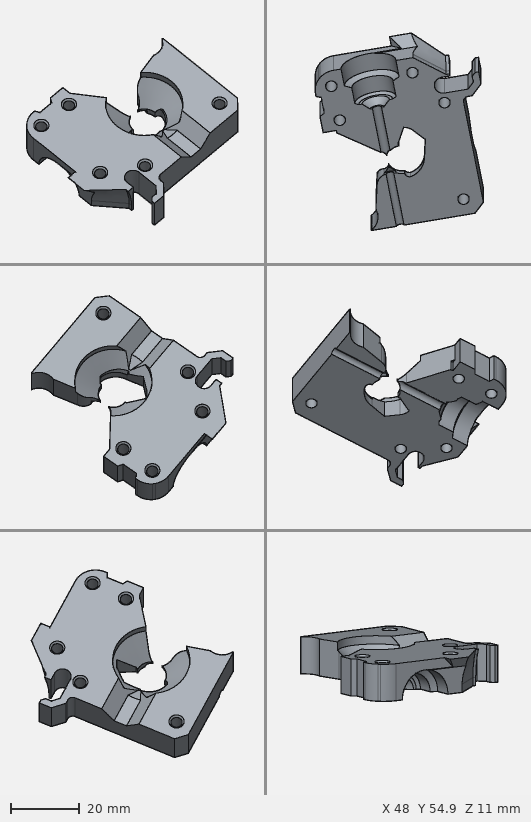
import cadquery as cq
import math

height = 11.0
left_x = -21.0
right_x = 21.0
back_y = 20.5
front_y = -31.35

tongue_length = 3.0
tongue_left_x = 2.6
tongue_right_x = 9.1
tongue_tip_y = front_y - tongue_length
tongue_root_z = height - tongue_length
front_recess = 0.2

corner_chamfer = 3.0
front_corner_radius = 6.5
front_corner_flat = 0.8
left_step_y = -12.45
left_step_x = -18.15
catch_depth = 1.45
catch_top_y = -17.65
catch_bottom_y = -24.1
hook_x = 27.0
hook_inner_x = 24.9
hook_tip_y = -23.3
hook_fillet = 1.6
hook_outer_chamfer = 3.2
hook_inner_chamfer = 1.9
hook_tip_chamfer = 1.05
arm_top_y = -16.2
slot_top_y = -18.5
slot_bottom_y = -23.5
slot_radius = (slot_top_y - slot_bottom_y) / 2
slot_end_x = 13.55
shelf_x = 18.55
shelf_y = -25.6
diagonal_end_x = 17.55

undercut_front_depth = 3.4
undercut_shelf_depth = 1.4
undercut_low_z = 2.5
undercut_lead = 0.5

hole_diameter = 3.3
countersink_diameter = 4.4
motor_hole_offset = 15.5
front_hole_y = -26.5
front_left_hole_x = -16.0
front_right_hole_x = 8.0
hole_centres = [
    (motor_hole_offset, motor_hole_offset),
    (motor_hole_offset, -motor_hole_offset),
    (-motor_hole_offset, -motor_hole_offset),
    (front_left_hole_x, front_hole_y),
    (front_right_hole_x, front_hole_y),
]

funnel_radius = 11.25
throat_radius = 4.4
funnel_shoulder_z = 8.55
throat_z = 2.2

window_round_start = (6.75, 0.1)
window_round_middle = (5.0, 3.8)
window_round_end = (1.6, 5.75)
window_left_middle = (0.55, 5.35)
window_left_end = (0.1, 4.25)
rim_bottom_z = 3.3
rim_angle = 21.0

channel_half_width = 6.0
channel_floor_z = 7.0
ramp_outer_radius = 11.6
ramp_inner_radius = 8.15
ramp_inner_z = 5.5

bore_x = -4.15
bore_profile = [
    (8.1, 0.0),
    (8.1, 5.4),
    (6.1, 6.4),
    (6.1, 11.4),
    (5.0, 12.0),
    (4.05, 12.0),
    (2.0, 14.0),
    (1.35, 14.0),
]
passage_radius = 1.15
mouth_inner_radius = 1.35
mouth_outer_radius = 2.0
mouth_inner_y = 2.3
mouth_outer_y = 3.75
mouth_left_x = -5.85

notch_length = 1.05
notch_width = 0.75
notch_height = 4.0


def plate():
    """Upright plate with the full outline, including the hook and the tongue."""
    slot_centre_x = slot_end_x + slot_radius
    slot_middle_y = (slot_top_y + slot_bottom_y) / 2
    corner_x = left_x + front_corner_radius
    corner_y = front_y + front_corner_radius
    half_flat_angle = math.asin(front_corner_flat / 2 / front_corner_radius)

    def corner_point(angle):
        return (
            corner_x - front_corner_radius * math.cos(angle),
            corner_y - front_corner_radius * math.sin(angle),
        )

    flat_start = math.radians(45) + half_flat_angle
    flat_end = math.radians(45) - half_flat_angle
    outline = (
        cq.Workplane("XY")
        .moveTo(-12.5, back_y)
        .lineTo(right_x - corner_chamfer, back_y)
        .lineTo(right_x, back_y - corner_chamfer)
        .lineTo(right_x, arm_top_y + hook_fillet)
        .radiusArc((right_x + hook_fillet, arm_top_y), -hook_fillet)
        .lineTo(hook_x - hook_outer_chamfer, arm_top_y)
        .lineTo(hook_x, arm_top_y - hook_outer_chamfer)
        .lineTo(hook_x, hook_tip_y)
        .lineTo(hook_inner_x + hook_tip_chamfer, hook_tip_y)
        .lineTo(hook_inner_x, hook_tip_y + hook_tip_chamfer)
        .lineTo(hook_inner_x, slot_top_y - hook_inner_chamfer)
        .lineTo(hook_inner_x - hook_inner_chamfer, slot_top_y)
        .lineTo(slot_centre_x, slot_top_y)
        .threePointArc((slot_end_x, slot_middle_y), (slot_centre_x, slot_bottom_y))
        .lineTo(shelf_x, slot_bottom_y)
        .lineTo(shelf_x, shelf_y)
        .lineTo(diagonal_end_x, shelf_y)
        .lineTo(tongue_right_x, tongue_tip_y)
        .lineTo(tongue_left_x, tongue_tip_y)
        .lineTo(tongue_left_x, front_y)
        .lineTo(corner_x, front_y)
        .radiusArc(corner_point(flat_start), front_corner_radius)
        .lineTo(*corner_point(flat_end))
        .radiusArc((left_x, corner_y), front_corner_radius)
        .lineTo(left_x, catch_bottom_y)
        .lineTo(left_x + catch_depth, slot_bottom_y)
        .lineTo(left_x + catch_depth, slot_top_y)
        .lineTo(left_x, catch_top_y)
        .lineTo(left_x, left_step_y)
        .lineTo(left_step_x, left_step_y)
        .lineTo(mouth_left_x, -3.55)
        .threePointArc((-4.95, -2.75), (bore_x, -1.75))
        .lineTo(bore_x, 1.7)
        .threePointArc((-4.9, 2.95), (mouth_left_x, mouth_outer_y))
        .threePointArc((-7.4, 4.65), (-8.45, 6.65))
        .lineTo(-10.2, 14.2)
        .threePointArc((-10.1, 17.0), (-12.7, 20.3))
        .close()
    )
    return outline.extrude(height)


def tongue_undercut():
    """Material removed below the 45 degree underside and left side of the tongue."""
    below_underside = (
        cq.Workplane("YZ", origin=(bore_x, 0, 0))
        .polyline([
            (tongue_tip_y, height),
            (front_y + front_recess, tongue_root_z - front_recess),
            (front_y + front_recess, 0),
            (tongue_tip_y, 0),
        ])
        .close()
        .extrude(hook_x - bore_x)
    )
    left_of_side = (
        cq.Workplane("XZ", origin=(0, front_y, 0))
        .polyline([
            (tongue_left_x, height),
            (tongue_left_x + tongue_length, tongue_root_z),
            (tongue_left_x, tongue_root_z),
        ])
        .close()
        .extrude(tongue_length)
    )
    return below_underside.union(left_of_side)


def wall_undercut():
    """Concave undercut of the diagonal wall and the shelf, recessed along +Y towards the bottom."""
    run_x = diagonal_end_x - tongue_right_x
    run_y = shelf_y - tongue_tip_y
    start_x = tongue_right_x - undercut_lead
    start_y = tongue_tip_y - undercut_lead * run_y / run_x

    def profile(x, y, depth):
        return (
            cq.Workplane("YZ", origin=(x, y, 0))
            .moveTo(-tongue_length, 0)
            .lineTo(depth, 0)
            .lineTo(depth, undercut_low_z)
            .tangentArcPoint((0, height), relative=False)
            .lineTo(-tongue_length, height)
            .close()
        )

    front_profile = profile(start_x, start_y, undercut_front_depth)
    shelf_profile = profile(diagonal_end_x, shelf_y, undercut_shelf_depth)
    below_diagonal = cq.Solid.makeLoft([front_profile.val(), shelf_profile.val()], True)
    below_shelf = shelf_profile.extrude(shelf_x - diagonal_end_x)
    return below_shelf.union(cq.Workplane(below_diagonal))


def screw_holes():
    """Through holes, countersunk at the top."""
    hole_radius = hole_diameter / 2
    countersink_radius = countersink_diameter / 2
    sink_z = height - (countersink_radius - hole_radius)
    hole = (
        cq.Workplane("XZ")
        .polyline([
            (0, 0),
            (hole_radius, 0),
            (hole_radius, sink_z),
            (countersink_radius, height),
            (0, height),
        ])
        .close()
        .revolve(360, (0, 0), (0, 1))
    )
    return cq.Workplane("XY").pushPoints(hole_centres).eachpoint(hole.val(), combine=False)


def funnel():
    """Round recess that narrows conically to a straight throat."""
    return (
        cq.Workplane("XZ")
        .polyline([
            (0, 0),
            (throat_radius, 0),
            (throat_radius, throat_z),
            (funnel_radius, funnel_shoulder_z),
            (funnel_radius, height),
            (0, height),
        ])
        .close()
        .revolve(360, (0, 0), (0, 1))
    )


def funnel_window():
    """Upright opening through the funnel wall, beside the throat."""
    return (
        cq.Workplane("XY")
        .moveTo(0, -4.3)
        .lineTo(-0.2, -5.0)
        .lineTo(2.4, -9.9)
        .threePointArc((4.0, -9.3), (5.0, -8.4))
        .lineTo(7.95, -4.95)
        .lineTo(*window_round_start)
        .threePointArc(window_round_middle, window_round_end)
        .threePointArc(window_left_middle, window_left_end)
        .close()
        .extrude(funnel_shoulder_z)
    )


def window_rim():
    """Sloped rim between the funnel and the round wall of the window."""
    return (
        cq.Workplane("XY", origin=(0, 0, rim_bottom_z))
        .moveTo(*window_round_start)
        .threePointArc(window_round_middle, window_round_end)
        .threePointArc(window_left_middle, window_left_end)
        .lineTo(0, 0)
        .close()
        .extrude(funnel_shoulder_z - rim_bottom_z, taper=-rim_angle)
    )


def channel():
    """Channel to the right side; its floor ramps down conically into the funnel."""
    apex_z = height - channel_half_width
    ramp_slope = (channel_floor_z - ramp_inner_z) / (ramp_outer_radius - ramp_inner_radius)
    ramp_centre_z = channel_floor_z - ramp_slope * ramp_outer_radius
    floor_radius = 2 * right_x
    groove = (
        cq.Workplane("YZ")
        .polyline([(-channel_half_width, height), (0, apex_z), (channel_half_width, height)])
        .close()
        .extrude(right_x)
    )
    floor = (
        cq.Workplane("XZ")
        .polyline([
            (0, 0),
            (floor_radius, 0),
            (floor_radius, channel_floor_z),
            (ramp_outer_radius, channel_floor_z),
            (0, ramp_centre_z),
        ])
        .close()
        .revolve(360, (0, 0), (0, 1))
    )
    return groove.cut(floor)


def lengthwise_bore():
    """Stepped bore from the front, and the narrow passage that runs on to the back."""
    front_points = [(bore_x + radius, front_y + depth) for radius, depth in bore_profile]
    outline = [
        (bore_x, front_y),
        *front_points,
        (bore_x + mouth_inner_radius, mouth_inner_y),
        (bore_x + mouth_outer_radius, mouth_outer_y),
        (bore_x + passage_radius, mouth_outer_y),
        (bore_x + passage_radius, back_y),
        (bore_x, back_y),
    ]
    return (
        cq.Workplane("XY")
        .polyline(outline)
        .close()
        .revolve(360, (bore_x, 0), (bore_x, 1))
    )


def left_notch():
    """Low notch where the slanted wall meets the left step."""
    return cq.Workplane("XY").box(
        notch_length, notch_width, notch_height, centered=False
    ).translate((left_step_x, left_step_y, 0))


result = (
    plate()
    .cut(tongue_undercut())
    .cut(wall_undercut())
    .cut(screw_holes())
    .cut(funnel())
    .cut(funnel_window())
    .cut(window_rim())
    .cut(channel())
    .cut(lengthwise_bore())
    .cut(left_notch())
)